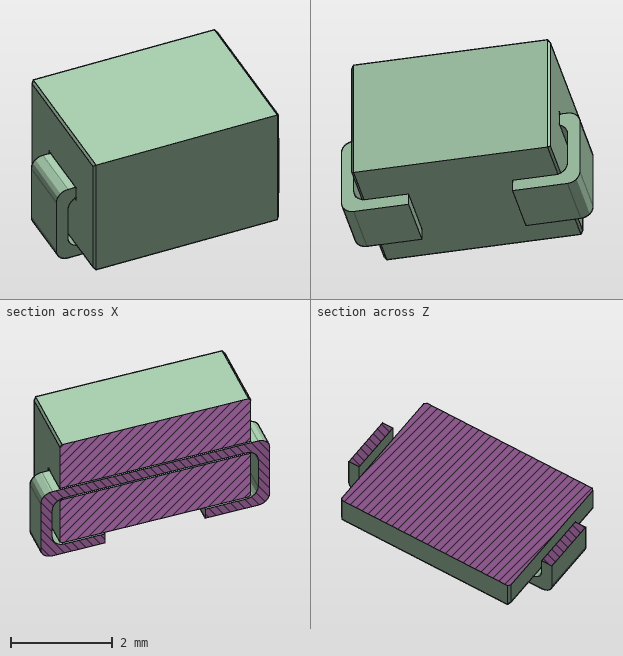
import cadquery as cq

overall_length = 4.8
overall_height = 2.88

housing_width = 3.0
housing_length = 4.0
housing_height = 2.6
housing_base = overall_height - housing_height
end_chamfer = 0.05

strip_width = 1.2
strip_thickness = 0.25
strip_top = 1.705
foot_length = 1.355
outer_bend_radius = strip_thickness
inner_bend_radius = strip_thickness

slot_width = 1.3
slot_top = 1.73
slot_bottom = 1.43
slot_height = slot_top - slot_bottom


def make_housing():
    """Block with chamfered end faces and a slot running along its length."""
    block = cq.Workplane("XY").box(
        housing_width, housing_length, housing_height, centered=(True, True, False)
    )
    block = block.translate((0, 0, housing_base))
    block = block.faces("<Y or >Y").edges().chamfer(end_chamfer)

    slot = cq.Workplane("XY").box(
        slot_width, housing_length, slot_height, centered=(True, True, False)
    )
    return block.cut(slot.translate((0, 0, slot_bottom)))


def make_strip():
    """One constant-thickness strip bent into a C, with its feet facing inward."""
    outer_half = overall_length / 2
    inner_half = outer_half - strip_thickness
    foot_end = outer_half - foot_length

    outer = (
        cq.Workplane("YZ")
        .rect(overall_length, strip_top)
        .extrude(strip_width / 2, both=True)
        .edges("|X")
        .fillet(outer_bend_radius)
    )
    inner = (
        cq.Workplane("YZ")
        .rect(2 * inner_half, strip_top - 2 * strip_thickness)
        .extrude(strip_width / 2, both=True)
        .edges("|X")
        .fillet(inner_bend_radius)
    )
    band = outer.cut(inner).translate((0, 0, strip_top / 2))

    foot_gap = cq.Workplane("XY").box(
        strip_width, 2 * foot_end, strip_thickness, centered=(True, True, False)
    )
    return band.cut(foot_gap)


housing = make_housing()
strip = make_strip()

result = cq.Compound.makeCompound([housing.solids().val(), strip.solids().val()])